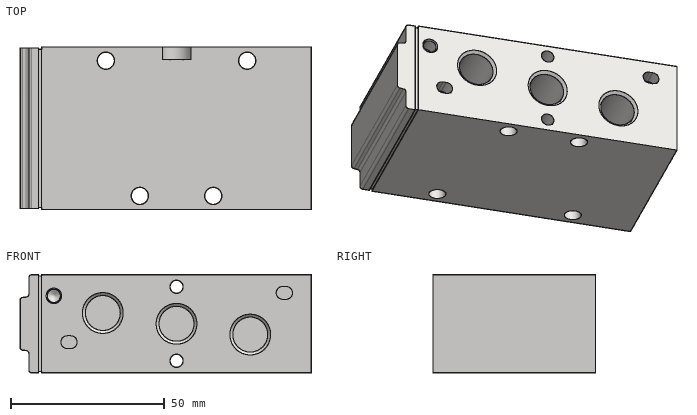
import cadquery as cq

length = 95.0
width = 53.0
height = 32.0

tongue_depth = 2.85
tongue_root_height = 17.7
tongue_tip_height = 17.1
cover_end = 6.1
cover_side_inset = 0.3
cover_radius = 0.95

body_start = 7.0
groove_side_inset = 0.7
groove_top_inset = 0.4

port_diameter = 11.4
port_mouth_diameter = 13.3
port_pitch = 24.0
port_drop = 3.5
port_depth = 19.0
middle_port_x = 51.0
port_chamfer = (port_mouth_diameter - port_diameter) / 2

cross_hole_diameter = 4.2
cross_hole_z = 12.1

pilot_x = 11.0
pilot_z = 9.1
pilot_diameter = 4.3
pilot_chamfer = 0.4
pilot_depth = 5.7
pilot_cone_height = 1.2

oblong_places = [(16.0, -6.0), (86.2, 10.1)]
oblong_length = 5.3
oblong_height = 4.2
oblong_depth = 5.7

mount_diameter = 5.5
mount_y = 22.0
front_mount_spacing = 23.9
back_mount_spacing = 46.1

notch_width = 9.3
notch_depth = 4.1
notch_axis_z = 9.5

front_y = -width / 2


def centred_box(x_start, x_end, y_size, z_size):
    """Box between two X positions, centred on Y and Z."""
    return cq.Workplane("XY").box(x_end - x_start, y_size, z_size).translate(((x_start + x_end) / 2, 0, 0))


def front_cylinder(x, z, diameter, depth):
    """Cylinder running from the front face into the body."""
    start = cq.Vector(x, front_y, z)
    return cq.Workplane(cq.Solid.makeCylinder(diameter / 2, depth, start, cq.Vector(0, 1, 0)))


def front_cone(x, y, z, start_diameter, end_diameter, depth):
    """Cone along +Y, starting at the given point."""
    start = cq.Vector(x, y, z)
    return cq.Workplane(
        cq.Solid.makeCone(start_diameter / 2, end_diameter / 2, depth, start, cq.Vector(0, 1, 0))
    )


def make_cover():
    """Cover plate with a raised, slightly tapered tongue and rounded long edges."""
    cover_width = width - 2 * cover_side_inset
    plate = centred_box(tongue_depth, cover_end, cover_width, height)
    tip = tongue_tip_height / 2
    root = tongue_root_height / 2
    tongue = (
        cq.Workplane("XZ", origin=(0, cover_width / 2, 0))
        .polyline([(0, -tip), (tongue_depth, -root), (tongue_depth, root), (0, tip)])
        .close()
        .extrude(cover_width)
    )
    return plate.union(tongue).edges("|Y and (not >X)").fillet(cover_radius)


neck = centred_box(
    cover_end, body_start, width - 2 * groove_side_inset, height - 2 * groove_top_inset
)
result = centred_box(body_start, length, width, height).union(neck).union(make_cover())

for step in (-1, 0, 1):
    x = middle_port_x + step * port_pitch
    z = -step * port_drop
    result = result.cut(front_cylinder(x, z, port_diameter, port_depth))
    result = result.cut(front_cone(x, front_y, z, port_mouth_diameter, port_diameter, port_chamfer))

for z in (-cross_hole_z, cross_hole_z):
    result = result.cut(front_cylinder(middle_port_x, z, cross_hole_diameter, width))

pilot_mouth = pilot_diameter + 2 * pilot_chamfer
result = result.cut(front_cylinder(pilot_x, pilot_z, pilot_diameter, pilot_depth))
result = result.cut(front_cone(pilot_x, front_y, pilot_z, pilot_mouth, pilot_diameter, pilot_chamfer))
result = result.cut(
    front_cone(pilot_x, front_y + pilot_depth, pilot_z, pilot_diameter, 0, pilot_cone_height)
)

oblongs = (
    cq.Workplane("XZ", origin=(0, front_y, 0))
    .pushPoints(oblong_places)
    .slot2D(oblong_length, oblong_height)
    .extrude(-oblong_depth)
)
result = result.cut(oblongs)

for y, spacing in ((-mount_y, front_mount_spacing), (mount_y, back_mount_spacing)):
    pair = (
        cq.Workplane("XY", origin=(middle_port_x, y, -height / 2))
        .pushPoints([(-spacing / 2, 0), (spacing / 2, 0)])
        .circle(mount_diameter / 2)
        .extrude(height)
    )
    result = result.cut(pair)

half_notch = notch_width / 2
notch = (
    cq.Workplane("XZ", origin=(middle_port_x, width / 2, 0))
    .moveTo(-half_notch, height / 2)
    .lineTo(-half_notch, notch_axis_z)
    .threePointArc((0, notch_axis_z - half_notch), (half_notch, notch_axis_z))
    .lineTo(half_notch, height / 2)
    .close()
    .extrude(notch_depth)
)
result = result.cut(notch)